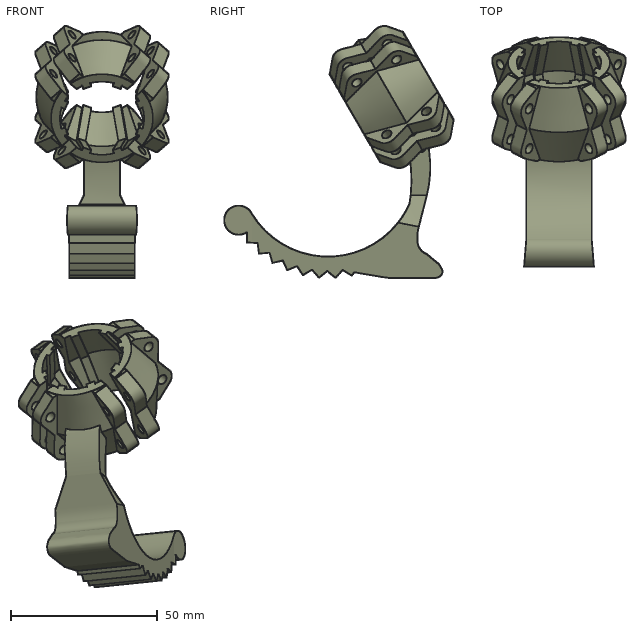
import cadquery as cq
import math


axis_tilt = 30.0
barrel_length = 29.0
mid_radius = 22.45
end_radius = 17.4
wall = 3.0
segment_turns = [0, 90, 180, 270]
hook_turn = 180
half_gap = 2.0

rib_width = 2.9
rib_height = 1.3
rib_angle = 22.5

flange_length = 28.65
flange_end_height = 17.7
flange_thickness = 5.0
ear_radius = 3.6
ear_offset = 7.7
ear_height = 21.7
bolt_diameter = 3.4
bolt_offset = 7.8
bolt_height = 21.3

hook_centre = (-21.6, -24.0)
hook_radius = 30.4
arm_half_width = 11.2
bottom_level = -61.8

neck_half_width = 6.2
neck_front_top = (5.4, -17.2)
neck_front_middle = (6.7, -27.5)
neck_front_foot = (6.0, -36.5)
neck_back_top = (12.2, -15.5)
neck_back_upper = (12.8, -18.4)
neck_back_middle = (13.2, -25.8)
neck_back_foot = (12.05, -33.5)
shoulder_back = (9.3, -44.2)
shoulder_front = (2.2, -42.8)
shoulder_clearance = 4.3

tail_tip = [(16.6, -61.0), (17.4, -59.45), (16.7, -57.9)]
tail_top = (12.0, -53.5)
tail_top_slope = 0.85
tail_hollow = [(9.55, -51.5), (8.9, -48.6), (8.9, -46.45)]
sole_back = 13.5
sole_front = -0.5
sole_rise_middle = (-3.6, -61.3)
sole_rise_end = (-12.7, -59.8)
sole_rise_slope = 0.17

tooth_count = 8
tooth_pitch = 8.5
first_tooth = -12.2
tooth_tip_radius = 37.8
tooth_root_radius = 35.4

bar_centre = (-52.1, -42.0)
bar_radius = 5.0
flare_start = -47.7
flare_half_width = 12.0


def place_on_axis(body):
    """Tilt a body from the Y axis onto the clamp axis."""
    return body.rotate((0, 0, 0), (1, 0, 0), axis_tilt)


def spindle(inset):
    """Solid with the barrel outline moved inwards by `inset`, along the Y axis."""
    half = barrel_length / 2
    end = end_radius - inset
    middle = mid_radius - inset
    outline = [(0, -half), (end, -half), (middle, 0), (end, half), (0, half)]
    return cq.Workplane("XY").polyline(outline).close().revolve(360, (0, 0, 0), (0, 1, 0))


def tangent_angle(point, centre, radius, side):
    """Angle on the circle where a line from `point` touches it; `side` is +1 or -1."""
    dx = point[0] - centre[0]
    dy = point[1] - centre[1]
    return math.atan2(dy, dx) + side * math.acos(radius / math.hypot(dx, dy))


def flange():
    """Two-eared plate beside the +X parting plane of the segment that is centred on +Z."""
    lean = math.sqrt(0.5)
    normal = cq.Vector(-lean, 0, lean)
    plate_plane = cq.Plane(origin=normal * half_gap, xDir=(0, -1, 0), normal=normal)

    half = flange_length / 2
    valley = (0, mid_radius)
    corner = (half, flange_end_height)
    ear = (ear_offset, ear_height)
    valley_angle = tangent_angle(valley, ear, ear_radius, -1)
    corner_angle = tangent_angle(corner, ear, ear_radius, 1)

    def on_ear(angle):
        return (ear[0] + ear_radius * math.cos(angle), ear[1] + ear_radius * math.sin(angle))

    half_plate = (
        cq.Workplane(plate_plane)
        .polyline([(0, 0), valley, on_ear(valley_angle)])
        .threePointArc(on_ear((valley_angle + corner_angle) / 2), on_ear(corner_angle))
        .lineTo(*corner)
        .lineTo(half, 0)
        .close()
        .extrude(flange_thickness)
    )
    bolt_hole = (
        cq.Workplane(plate_plane)
        .center(bolt_offset, bolt_height)
        .circle(bolt_diameter / 2)
        .extrude(flange_thickness)
    )
    half_plate = half_plate.cut(bolt_hole)
    return half_plate.union(half_plate.mirror("XZ"))


def ribs():
    """Pair of straight ribs on the inside of the segment that is centred on +Z."""
    lining = spindle(wall / 2).cut(spindle(wall + rib_height))
    slab = cq.Workplane("XY").box(rib_width, barrel_length, mid_radius, centered=(True, True, False))
    left = lining.intersect(slab.rotate((0, 0, 0), (0, 1, 0), -rib_angle))
    return left.union(left.mirror("YZ"))


def clamp_segment(turn):
    """One clamp segment, turned about the clamp axis and tilted into place."""
    apex = half_gap * math.sqrt(2)
    reach = 2 * mid_radius
    wedge = (
        cq.Workplane("XZ")
        .polyline([(0, apex), (reach, apex + reach), (-reach, apex + reach)])
        .close()
        .extrude(barrel_length / 2, both=True)
    )
    plate = flange()
    segment = (
        spindle(0)
        .intersect(wedge)
        .union(plate)
        .union(plate.mirror("YZ"))
        .cut(spindle(wall))
        .union(ribs())
    )
    return place_on_axis(segment.rotate((0, 0, 0), (0, 1, 0), turn))


def around_hook(radius, angle):
    """Point about the hook centre; the angle is from straight down towards -Y."""
    turn = math.radians(angle)
    return (hook_centre[0] - radius * math.sin(turn), hook_centre[1] - radius * math.cos(turn))


def hook_angle(point):
    return math.degrees(math.atan2(hook_centre[0] - point[0], hook_centre[1] - point[1]))


def tooth_points():
    """Zigzag from the first tooth tip to the last."""
    points = [around_hook(tooth_tip_radius, first_tooth)]
    for index in range(1, tooth_count):
        tip_angle = first_tooth + index * tooth_pitch
        points.append(around_hook(tooth_root_radius, tip_angle - tooth_pitch / 2))
        points.append(around_hook(tooth_tip_radius, tip_angle))
    return points


def hook_profile():
    """Side outline of the hook: neck, inner arc, teeth, sole, tail and back."""
    bar_rise = math.sqrt(bar_radius**2 - (flare_start - bar_centre[0]) ** 2)
    arc_end = (flare_start, bar_centre[1] + bar_rise)
    arc_middle = around_hook(hook_radius, (hook_angle(arc_end) + hook_angle(neck_front_foot)) / 2)
    teeth = tooth_points()
    last_tip = teeth[-1]

    return (
        cq.Workplane("YZ")
        .moveTo(*neck_front_top)
        .threePointArc(neck_front_middle, neck_front_foot)
        .threePointArc(arc_middle, arc_end)
        .lineTo(last_tip[0], bar_centre[1])
        .polyline(teeth[::-1], includeCurrent=True)
        .lineTo(*sole_rise_end)
        .spline(
            [sole_rise_middle, (sole_front, bottom_level)],
            tangents=[(1, -sole_rise_slope), (1, 0)],
            includeCurrent=True,
        )
        .lineTo(sole_back, bottom_level)
        .spline(
            [*tail_tip, tail_top],
            tangents=[(1, 0), (-1, tail_top_slope)],
            includeCurrent=True,
        )
        .threePointArc(tail_hollow[0], tail_hollow[1])
        .threePointArc(tail_hollow[2], shoulder_back)
        .lineTo(*neck_back_foot)
        .threePointArc(neck_back_middle, neck_back_upper)
        .lineTo(*neck_back_top)
        .close()
    )


def neck_block(top_half_width):
    """Block around the neck, as wide as the arm at the sloping shoulder line."""
    back = neck_back_foot[0] + shoulder_clearance
    front = shoulder_front[0] - shoulder_clearance
    slope = (shoulder_front[1] - shoulder_back[1]) / (shoulder_front[0] - shoulder_back[0])

    def section(half_width, back_level, front_level):
        corners = [
            cq.Vector(-half_width, back, back_level),
            cq.Vector(half_width, back, back_level),
            cq.Vector(half_width, front, front_level),
            cq.Vector(-half_width, front, front_level),
        ]
        return cq.Wire.makePolygon(corners, close=True)

    def shoulder_level(y):
        return shoulder_back[1] + slope * (y - shoulder_back[0])

    foot_level = neck_back_foot[1]
    sections = [
        section(top_half_width, 0, 0),
        section(top_half_width, foot_level, foot_level),
        section(arm_half_width, shoulder_level(back), shoulder_level(front)),
    ]
    return cq.Workplane(cq.Solid.makeLoft(sections, True))


def hook_arm():
    """Arm of the hook: a narrow neck, sloping shoulders and a wide curved blade."""
    blade = hook_profile().extrude(arm_half_width, both=True)
    side_waste = neck_block(arm_half_width).cut(neck_block(neck_half_width))
    return blade.cut(side_waste)


def grip_bar():
    """Round bar and hook end, with sides that spread towards the far side of the bar."""
    bar_end = bar_centre[0] - bar_radius
    flare = (
        cq.Workplane("XY")
        .moveTo(-arm_half_width, flare_start)
        .lineTo(arm_half_width, flare_start)
        .lineTo(flare_half_width, bar_end)
        .lineTo(-flare_half_width, bar_end)
        .close()
        .extrude(bottom_level)
    )
    bar = cq.Workplane("YZ").center(*bar_centre).circle(bar_radius).extrude(flare_half_width, both=True)
    hook_end = hook_profile().extrude(flare_half_width, both=True)
    return bar.union(hook_end).intersect(flare)


def hook_segment():
    """Bottom clamp segment in one piece with the hook that hangs from it."""
    hook = hook_arm().union(grip_bar()).cut(place_on_axis(spindle(0)))
    return clamp_segment(hook_turn).union(hook)


plain_segments = [clamp_segment(turn) for turn in segment_turns if turn != hook_turn]
hook_carrier = hook_segment()

result = cq.Compound.makeCompound([*[segment.val() for segment in plain_segments], hook_carrier.val()])